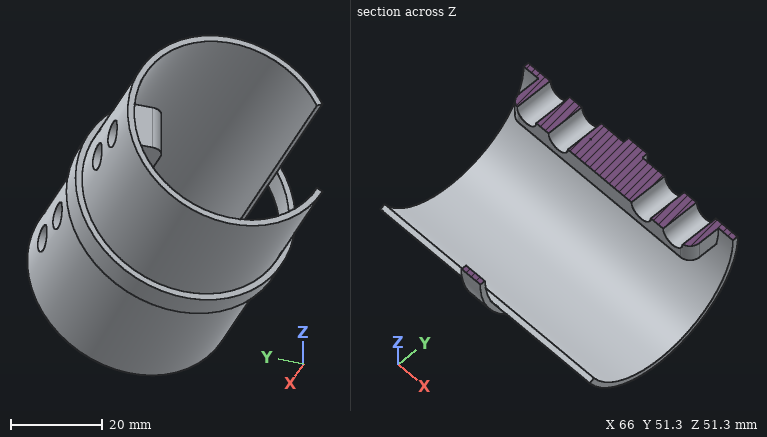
import cadquery as cq
import math

sleeve_length = 66.0
collar_diameter = 51.3
collar_width = 6.0
wall = 1.5
gap_half_angle = 28.0

block_length = 56.8
block_height = 10.3
block_face_y = 13.8
block_corner_radius = 3.0
hole_diameter = 6.0
hole_offsets = (13.1, 23.05)

collar_radius = collar_diameter / 2
sleeve_radius = collar_radius - wall
bore_radius = sleeve_radius - wall


def tube(outer_radius, inner_radius, length):
    """Tube along X, centred on the origin."""
    profile = cq.Workplane("YZ").circle(outer_radius).circle(inner_radius)
    return profile.extrude(length / 2, both=True)


def gap_wedge():
    """Wedge with radial sides that opens the sleeve towards -Y."""
    reach_y = 2 * sleeve_radius
    half_height = reach_y * math.tan(math.radians(gap_half_angle))
    corners = [(0, 0), (-reach_y, half_height), (-reach_y, -half_height)]
    return cq.Workplane("YZ").polyline(corners).close().extrude(sleeve_length, both=True)


def mounting_block():
    """Block with two rounded corners and a back that follows the sleeve wall."""
    depth = sleeve_radius - block_face_y
    block = cq.Workplane("XY").box(block_length, depth, block_height)
    block = block.translate((0, block_face_y + depth / 2, 0))
    block = block.edges("|Z and <Y").fillet(block_corner_radius)
    mid_wall_radius = (sleeve_radius + bore_radius) / 2
    envelope = cq.Workplane("YZ").circle(mid_wall_radius).extrude(sleeve_length, both=True)
    return block.intersect(envelope)


def mounting_holes():
    """Holes along Y through the block and the wall behind it."""
    centres = [(side * offset, 0) for side in (-1, 1) for offset in hole_offsets]
    holes = cq.Workplane("XZ").pushPoints(centres).circle(hole_diameter / 2)
    return holes.extrude(-collar_radius)


sleeve = tube(sleeve_radius, bore_radius, sleeve_length).cut(gap_wedge())
collar = tube(collar_radius, sleeve_radius, collar_width)
result = sleeve.union(collar).union(mounting_block()).cut(mounting_holes())